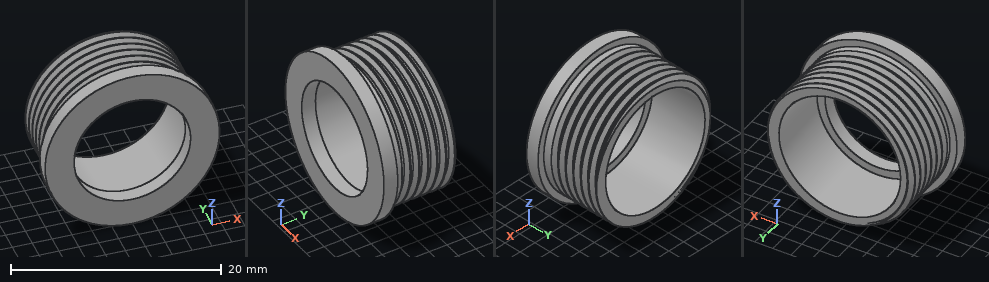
import cadquery as cq
import math

total_length = 8.55
flange_diameter = 17.55
flange_thickness = 1.55
entry_bore_diameter = 11.7
main_bore_diameter = 13.5

major_diameter = 16.0
pitch = 1.0
flank_angle = 30.0
crest_width = pitch / 8
root_width = pitch / 4
thread_depth = (pitch - crest_width - root_width) / 2 / math.tan(math.radians(flank_angle))
groove_bottom_y = 2.23
lead_in_angle = 30.0
groove_start_y = groove_bottom_y - pitch * lead_in_angle / 360
cutter_overlap = 0.05


def cylinder(diameter, start_y, end_y):
    """Solid cylinder along Y between two positions, with its seam at -Z."""
    base = cq.Workplane(cq.Plane(origin=(0, start_y, 0), xDir=(0, 0, -1), normal=(0, 1, 0)))
    return base.circle(diameter / 2).extrude(end_y - start_y)


def thread_cutter():
    """Helical groove cutter, running past the free end of the bushing."""
    root_radius = major_diameter / 2 - thread_depth
    outer_radius = major_diameter / 2 + cutter_overlap
    half_root = root_width / 2
    half_mouth = half_root + (outer_radius - root_radius) * math.tan(math.radians(flank_angle))
    turns = math.ceil((total_length - groove_start_y) / pitch) + 1
    helix = cq.Workplane(cq.Wire.makeHelix(pitch, turns * pitch, root_radius))
    profile = cq.Workplane("XZ").polyline([
        (root_radius, -half_root),
        (outer_radius, -half_mouth),
        (outer_radius, half_mouth),
        (root_radius, half_root),
    ]).close()
    cutter = profile.sweep(helix, isFrenet=True)
    cutter = cutter.rotate((0, 0, 0), (0, 0, 1), 90)
    cutter = cutter.rotate((0, 0, 0), (1, 0, 0), -90)
    cutter = cutter.rotate((0, 0, 0), (0, 1, 0), -lead_in_angle)
    return cutter.translate((0, groove_start_y, 0))


sleeve = cylinder(major_diameter, 0, total_length).cut(thread_cutter())
flange = cylinder(flange_diameter, 0, flange_thickness)
entry_bore = cylinder(entry_bore_diameter, 0, flange_thickness)
main_bore = cylinder(main_bore_diameter, flange_thickness, total_length)

result = sleeve.union(flange).cut(entry_bore).cut(main_bore)